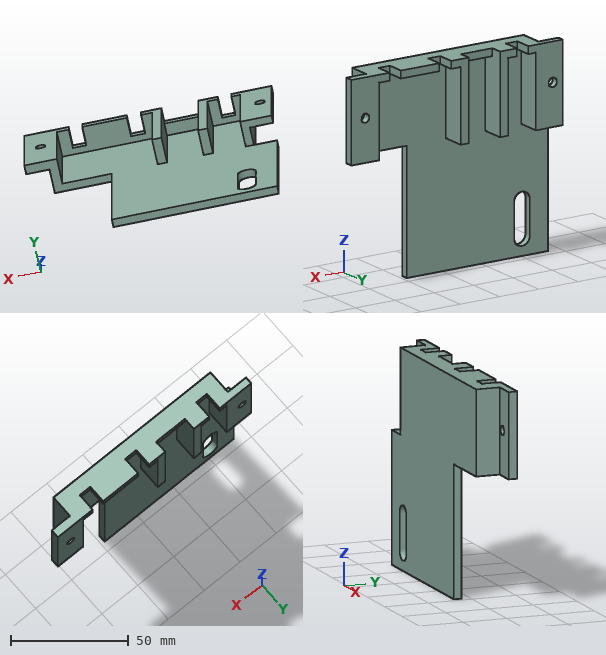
import cadquery as cq

length = 107.6
depth = 15.0
height = 97.0

housing_height = 38.1
flange_width = 10.1
left_flange_thickness = 3.4
right_flange_thickness = 4.1

top_wall = 3.5
left_wall = 3.5
right_wall = 4.1
partition_thickness = 4.1

plate_width = 72.0
plate_thickness = 3.5

narrow_depth = 8.5
wide_depth = 5.9
wide_left = 32.0
wide_right = 47.9
notches = [
    (17.5, 23.4, narrow_depth),
    (wide_left, wide_right, wide_depth),
    (56.8, 63.0, narrow_depth),
    (82.5, 88.3, narrow_depth),
]

hole_drop = 18.2
left_hole_diameter = 4.2
right_hole_diameter = 4.0
left_hole_x = flange_width / 2
right_hole_x = 100.5

slot_x = 13.2
slot_width = 8.0
slot_length = 24.1
slot_bottom = 4.5

housing_bottom = height - housing_height


def box(x_start, x_end, y_start, y_end, z_start, z_end):
    """Axis-aligned box between two opposite corners."""
    size = (x_end - x_start, y_end - y_start, z_end - z_start)
    return cq.Workplane("XY").box(*size, centered=False).translate((x_start, y_start, z_start))


def hole_along_y(x, z, diameter):
    """Round cutter running through the full depth."""
    return cq.Workplane("XZ", origin=(x, 0, z)).circle(diameter / 2).extrude(-depth)


housing = box(flange_width, length - flange_width, 0, depth, housing_bottom, height)
left_flange = box(0, flange_width, depth - left_flange_thickness, depth, housing_bottom, height)
right_flange = box(
    length - flange_width, length, depth - right_flange_thickness, depth, housing_bottom, height
)
plate = box(0, plate_width, 0, plate_thickness, 0, housing_bottom)
result = housing.union(left_flange).union(right_flange).union(plate)

cavity = box(
    flange_width + left_wall,
    length - flange_width - right_wall,
    plate_thickness,
    depth,
    housing_bottom,
    height - top_wall,
)
result = result.cut(cavity)

for partition_left in (wide_left - partition_thickness, wide_right):
    partition_right = partition_left + partition_thickness
    result = result.union(box(partition_left, partition_right, 0, depth, housing_bottom, height))

for left_edge, right_edge, notch_depth in notches:
    result = result.cut(
        box(left_edge, right_edge, depth - notch_depth, depth, height - top_wall, height)
    )

hole_z = height - hole_drop
result = result.cut(hole_along_y(left_hole_x, hole_z, left_hole_diameter))
result = result.cut(hole_along_y(right_hole_x, hole_z, right_hole_diameter))

slot_z = slot_bottom + slot_length / 2
slot = (
    cq.Workplane("XZ", origin=(slot_x, 0, slot_z))
    .slot2D(slot_length, slot_width, 90)
    .extrude(-plate_thickness)
)
result = result.cut(slot)